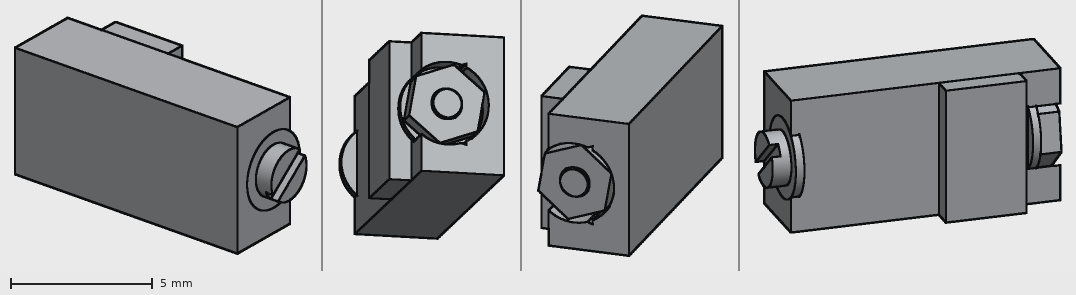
import cadquery as cq
import math

overall_length = 10.7

housing_length = 10.0
housing_depth = 3.0
housing_height = 5.0

block_start = 1.52
block_length = 3.0
block_depth = 0.8

axis_y = 2.05
axis_z = housing_height / 2
flange_radius = 1.5

hex_start = 0.1
hex_corner_radius = 1.45
hex_sides = 6
hex_turn = 40.0
drive_flange_start = 0.9
drive_pocket_depth = 1.2
bore_radius = 0.56
pin_radius = 0.51

notch_inner_y = -0.5
notch_inner_z = 1.4
notch_outer_y = -0.7
notch_outer_z = 1.48
notch_root_z = 1.32

disc_thickness = 0.32
disc_start = housing_length - disc_thickness
knob_diameter = 2.0
knob_radius = knob_diameter / 2
knob_length = overall_length - housing_length
slot_width = 0.46
slot_depth = 0.32
slot_turn = 38.5


def axis_plane(x):
    """YZ plane at the given X, centred on the common axis."""
    return cq.Workplane("YZ", origin=(x, axis_y, axis_z))


def cylinder(start, radius, length):
    return axis_plane(start).circle(radius).extrude(length)


def rim_notch(side):
    """Triangular notch on the pocket rim; side is +1 above the axis and -1 below it."""
    return (
        axis_plane(0)
        .moveTo(notch_inner_y, side * notch_inner_z)
        .lineTo(notch_outer_y, side * notch_outer_z)
        .lineTo(notch_outer_y, side * notch_root_z)
        .close()
        .extrude(drive_pocket_depth)
    )


def make_housing():
    body = cq.Workplane("XY").box(housing_length, housing_depth, housing_height, centered=False)
    body = body.cut(cylinder(0, flange_radius, drive_pocket_depth))
    for side in (1, -1):
        body = body.cut(rim_notch(side))
    return body.cut(cylinder(disc_start, flange_radius, disc_thickness))


def make_side_block():
    return (
        cq.Workplane("XY", origin=(block_start, housing_depth, 0))
        .box(block_length, block_depth, housing_height, centered=False)
    )


def make_hex_drive():
    corners = []
    for index in range(hex_sides):
        angle = math.radians(hex_turn + 360 * index / hex_sides)
        corners.append((hex_corner_radius * math.cos(angle), hex_corner_radius * math.sin(angle)))
    head = axis_plane(hex_start).polyline(corners).close().extrude(drive_flange_start - hex_start)
    flange = cylinder(drive_flange_start, flange_radius, drive_pocket_depth - drive_flange_start)
    return head.union(flange).cut(cylinder(0, bore_radius, drive_pocket_depth))


def make_pin():
    return cylinder(0, pin_radius, drive_pocket_depth)


def make_end_disc():
    return cylinder(disc_start, flange_radius, disc_thickness)


def make_knob():
    knob = cylinder(housing_length, knob_radius, knob_length)
    slot = (
        axis_plane(housing_length + knob_length - slot_depth)
        .transformed(rotate=(0, 0, slot_turn))
        .rect(2 * knob_diameter, slot_width)
        .extrude(slot_depth)
    )
    return knob.cut(slot)


housing = make_housing()
side_block = make_side_block()
hex_drive = make_hex_drive()
pin = make_pin()
end_disc = make_end_disc()
knob = make_knob()

result = cq.Compound.makeCompound(
    [housing.val(), side_block.val(), hex_drive.val(), pin.val(), end_disc.val(), knob.val()]
)